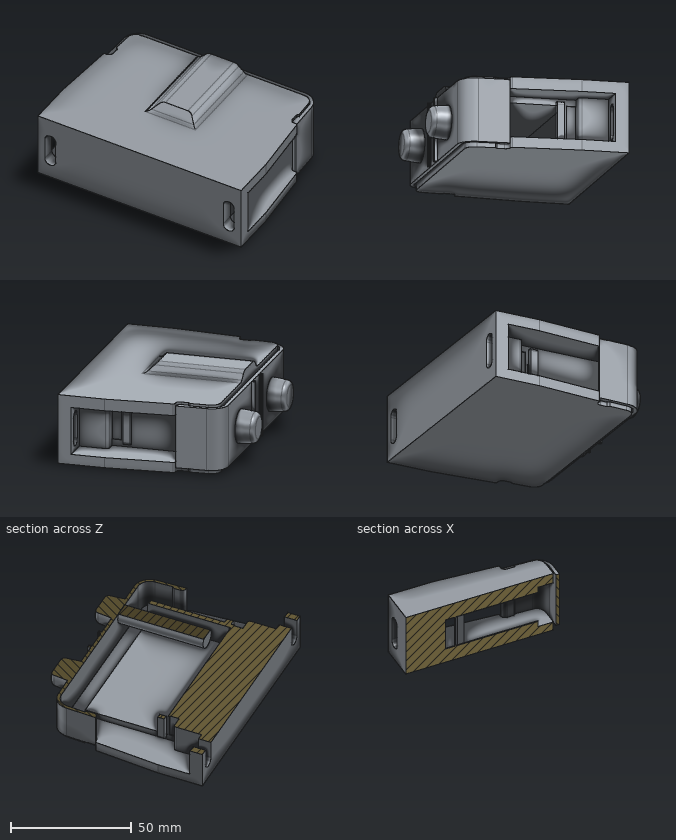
import cadquery as cq

HALF_WIDTH = 49.0
HEIGHT = 30.1
LENGTH = 68.0
TAPER_START_Y = 20.3
SHOULDER_Y = 50.0
SHOULDER_HALF_WIDTH = 46.6
SHOULDER_FILLET = 0.7
HOUSING_CORNER_Y = 63.8
HOUSING_CORNER_RADIUS = LENGTH - HOUSING_CORNER_Y
NECK_HALF_WIDTH = 43.6

GROOVE_TOP_Y = 56.0
GROOVE_TOP_HALF_WIDTH = 44.0
GROOVE_FLOOR_Y = 55.1
GROOVE_HALF_WIDTH = 43.2
GROOVE_ROUND_RADIUS = 1.9

RIDGE_TOP_Z = 34.0
RIDGE_HALF_WIDTH = 12.1
RIDGE_SLOPE_FOOT_HALF_WIDTH = 10.2
RIDGE_SLOPE_FOOT_Z = HEIGHT + 0.7
RIDGE_SLOPE_HEAD_HALF_WIDTH = 7.95
RIDGE_SLOPE_HEAD_Z = 33.0
RIDGE_TOP_HALF_WIDTH = 5.4
RIDGE_FRONT_Y = 25.2
RIDGE_FRONT_SLOPE_FOOT_Y = 27.05
RIDGE_FRONT_TOP_Y = 30.4

MID_Z = 14.75
WINDOW_HEIGHT = 20.5
WINDOW_FRONT_Y = 5.8
WINDOW_FLOOR_HALF_WIDTH = 32.5
BLOCK_HALF_WIDTH = 37.5
BLOCK_REAR_Y = 18.5
BLOCK_FILLET = 1.3
CHAMBER_HEIGHT = 15.0
CHAMBER_FRONT_Y = 24.0
CHAMBER_REAR_Y = 61.0
CHAMBER_FAR_X = 30.0
RECESS_DEPTH = 0.5
RECESS_REAR_Y = 22.5
SLIT_WIDTH = 0.7
SLIT_END_HEIGHT = 4.0

STRAP_FRONT_Y = 23.9
STRAP_WIDTH = 3.1
STRAP_HEIGHT = 17.7
STRAP_THICKNESS = 2.3
STRAP_END_RADIUS = 1.1

FRONT_SLOT_X = 43.0
FRONT_SLOT_Z = 14.05
FRONT_SLOT_WIDTH = 5.2
FRONT_SLOT_HEIGHT = 15.3

CLIP_BOTTOM_Z = 2.0
CLIP_TOP_Z = 29.0
CLIP_REAR_Y = 70.85
CLIP_THICKNESS = 1.7
CLIP_CORNER_Y = 63.6
CLIP_CORNER_HALF_WIDTH = 45.3
CLIP_CORNER_RADIUS = CLIP_REAR_Y - CLIP_CORNER_Y
CLIP_FOOT_HALF_WIDTH = 45.8
CLIP_FOOT_Y = 50.2
CLIP_NOSE_RADIUS = 2.0
HOOK_HALF_SPACING = 5.1
HOOK_STEM = 1.1
HOOK_HEIGHT = 1.35
HOOK_LIP = 0.4
HOOK_LIP_DROP = 0.3
HOOK_LIP_HEIGHT = 0.6

KNOB_X = 22.0
KNOB_BASE_RADIUS = 7.25
KNOB_RIM_Y = 71.15
KNOB_SHOULDER_Y = 77.1
KNOB_SHOULDER_RADIUS = 6.65
KNOB_TOP_Y = 79.0
KNOB_TOP_RADIUS = 4.7

ROD_RADIUS = 4.1
ROD_FRONT_Y = 30.2

SIDES = (-1, 1)
ARC_MID = 0.5 ** 0.5


def box(x_a, x_b, y_a, y_b, height, z_mid=MID_Z):
    """Box between two X and two Y positions, centred on a height."""
    size = (abs(x_b - x_a), y_b - y_a, height)
    return cq.Workplane("XY").box(*size).translate(((x_a + x_b) / 2, (y_a + y_b) / 2, z_mid))


def housing_half():
    """Half of the block on the +X side, with its snap groove."""
    round_centre_x = GROOVE_HALF_WIDTH + GROOVE_ROUND_RADIUS
    round_centre_y = SHOULDER_Y + GROOVE_ROUND_RADIUS
    round_offset = GROOVE_ROUND_RADIUS * ARC_MID
    corner_centre_x = NECK_HALF_WIDTH - HOUSING_CORNER_RADIUS
    corner_offset = HOUSING_CORNER_RADIUS * ARC_MID
    half = (
        cq.Workplane("XY")
        .lineTo(HALF_WIDTH, 0)
        .lineTo(HALF_WIDTH, TAPER_START_Y)
        .lineTo(SHOULDER_HALF_WIDTH, SHOULDER_Y)
        .lineTo(round_centre_x, SHOULDER_Y)
        .threePointArc(
            (round_centre_x - round_offset, round_centre_y - round_offset),
            (GROOVE_HALF_WIDTH, round_centre_y),
        )
        .lineTo(GROOVE_HALF_WIDTH, GROOVE_FLOOR_Y)
        .lineTo(GROOVE_TOP_HALF_WIDTH, GROOVE_TOP_Y)
        .lineTo(NECK_HALF_WIDTH, HOUSING_CORNER_Y)
        .threePointArc(
            (corner_centre_x + corner_offset, HOUSING_CORNER_Y + corner_offset),
            (corner_centre_x, LENGTH),
        )
        .lineTo(0, LENGTH)
        .close()
        .extrude(HEIGHT)
    )
    shoulder = cq.selectors.NearestToPointSelector((SHOULDER_HALF_WIDTH, SHOULDER_Y, HEIGHT / 2))
    return half.edges(shoulder).fillet(SHOULDER_FILLET)


def ridge():
    """Cross-section run along Y, trimmed by the side outline so that the corners are mitred."""
    section = (
        cq.Workplane("XZ", origin=(0, LENGTH, 0))
        .moveTo(0, HEIGHT)
        .lineTo(0, RIDGE_TOP_Z)
        .lineTo(RIDGE_TOP_HALF_WIDTH, RIDGE_TOP_Z)
        .tangentArcPoint((RIDGE_SLOPE_HEAD_HALF_WIDTH, RIDGE_SLOPE_HEAD_Z), relative=False)
        .lineTo(RIDGE_SLOPE_FOOT_HALF_WIDTH, RIDGE_SLOPE_FOOT_Z)
        .tangentArcPoint((RIDGE_HALF_WIDTH, HEIGHT), relative=False)
        .close()
        .extrude(LENGTH - RIDGE_FRONT_Y)
    )
    side_outline = (
        cq.Workplane("YZ")
        .moveTo(LENGTH, HEIGHT)
        .lineTo(LENGTH, RIDGE_TOP_Z)
        .lineTo(RIDGE_FRONT_TOP_Y, RIDGE_TOP_Z)
        .lineTo(RIDGE_FRONT_SLOPE_FOOT_Y, RIDGE_SLOPE_FOOT_Z)
        .tangentArcPoint((RIDGE_FRONT_Y, HEIGHT), relative=False)
        .close()
        .extrude(RIDGE_HALF_WIDTH, both=True)
    )
    return section.union(section.mirror("YZ")).intersect(side_outline)


def side_window(side):
    """Deep side opening, running out at the rear, with a rounded block left standing at its front."""
    opening = box(
        side * WINDOW_FLOOR_HALF_WIDTH, side * HALF_WIDTH, WINDOW_FRONT_Y, LENGTH, WINDOW_HEIGHT
    )
    block = box(
        side * WINDOW_FLOOR_HALF_WIDTH, side * BLOCK_HALF_WIDTH, WINDOW_FRONT_Y, BLOCK_REAR_Y, WINDOW_HEIGHT
    )
    outer_rear_edge = cq.selectors.NearestToPointSelector((side * BLOCK_HALF_WIDTH, BLOCK_REAR_Y, MID_Z))
    return opening.cut(block.edges(outer_rear_edge).fillet(BLOCK_FILLET))


def shallow_recess(side):
    inner_x = side * (WINDOW_FLOOR_HALF_WIDTH - RECESS_DEPTH)
    return box(inner_x, side * WINDOW_FLOOR_HALF_WIDTH, BLOCK_REAR_Y, RECESS_REAR_Y, CHAMBER_HEIGHT)


def strap(side):
    outer_x = side * (WINDOW_FLOOR_HALF_WIDTH + STRAP_THICKNESS)
    bar = box(
        side * WINDOW_FLOOR_HALF_WIDTH, outer_x, STRAP_FRONT_Y, STRAP_FRONT_Y + STRAP_WIDTH, STRAP_HEIGHT
    )
    outer_face = ">X" if side > 0 else "<X"
    return bar.faces(outer_face).edges("|Y").fillet(STRAP_END_RADIUS)


def front_slots():
    return (
        cq.Workplane("XZ")
        .pushPoints([(side * FRONT_SLOT_X, FRONT_SLOT_Z) for side in SIDES])
        .slot2D(FRONT_SLOT_HEIGHT, FRONT_SLOT_WIDTH, 90)
        .extrude(-WINDOW_FRONT_Y)
    )


def chamber():
    """Inner space for the rod, the open rear behind it and a slit that runs right across."""
    slit_front_y = CHAMBER_FRONT_Y - SLIT_WIDTH
    floor_x = WINDOW_FLOOR_HALF_WIDTH
    main = box(-floor_x, CHAMBER_FAR_X, CHAMBER_FRONT_Y, CHAMBER_REAR_Y, CHAMBER_HEIGHT)
    channel = box(-floor_x, floor_x, CHAMBER_REAR_Y, LENGTH, WINDOW_HEIGHT)
    slit = box(-floor_x, CHAMBER_FAR_X, slit_front_y, CHAMBER_FRONT_Y, CHAMBER_HEIGHT)
    slit_end = box(CHAMBER_FAR_X, floor_x, slit_front_y, CHAMBER_FRONT_Y, SLIT_END_HEIGHT)
    return main.union(channel).union(slit).union(slit_end)


def make_housing():
    half = housing_half()
    housing = half.union(half.mirror("YZ")).union(ridge())
    housing = housing.cut(chamber()).cut(front_slots())
    for side in SIDES:
        housing = housing.cut(side_window(side)).cut(shallow_recess(side))
        housing = housing.union(strap(side))
    return housing


def clip_half():
    """Half of the bent plate on the +X side; its arm follows the housing side and snap groove."""
    inner_y = CLIP_REAR_Y - CLIP_THICKNESS
    corner_centre_x = CLIP_CORNER_HALF_WIDTH - CLIP_CORNER_RADIUS
    outer_offset = CLIP_CORNER_RADIUS * ARC_MID
    inner_radius = inner_y - HOUSING_CORNER_Y
    inner_centre_x = NECK_HALF_WIDTH - inner_radius
    inner_offset = inner_radius * ARC_MID
    return (
        cq.Workplane("XY", origin=(0, 0, CLIP_BOTTOM_Z))
        .moveTo(0, inner_y)
        .lineTo(0, CLIP_REAR_Y)
        .lineTo(corner_centre_x, CLIP_REAR_Y)
        .threePointArc(
            (corner_centre_x + outer_offset, CLIP_CORNER_Y + outer_offset),
            (CLIP_CORNER_HALF_WIDTH, CLIP_CORNER_Y),
        )
        .lineTo(CLIP_FOOT_HALF_WIDTH, CLIP_FOOT_Y)
        .lineTo(GROOVE_HALF_WIDTH + CLIP_NOSE_RADIUS, CLIP_FOOT_Y)
        .tangentArcPoint((-CLIP_NOSE_RADIUS, CLIP_NOSE_RADIUS))
        .lineTo(GROOVE_HALF_WIDTH, GROOVE_FLOOR_Y)
        .lineTo(GROOVE_TOP_HALF_WIDTH, GROOVE_TOP_Y)
        .lineTo(NECK_HALF_WIDTH, HOUSING_CORNER_Y)
        .threePointArc(
            (inner_centre_x + inner_offset, HOUSING_CORNER_Y + inner_offset),
            (inner_centre_x, inner_y),
        )
        .close()
        .extrude(CLIP_TOP_Z - CLIP_BOTTOM_Z)
    )


def hook(side):
    """Low upright rib with a lip turned towards the middle of the plate."""
    height = CLIP_TOP_Z - CLIP_BOTTOM_Z
    z_mid = (CLIP_TOP_Z + CLIP_BOTTOM_Z) / 2
    inner_x = HOOK_HALF_SPACING - HOOK_STEM / 2
    outer_x = HOOK_HALF_SPACING + HOOK_STEM / 2
    top_y = CLIP_REAR_Y + HOOK_HEIGHT
    lip_top_y = top_y - HOOK_LIP_DROP
    stem = box(side * inner_x, side * outer_x, CLIP_REAR_Y, top_y, height, z_mid)
    lip = box(
        side * (inner_x - HOOK_LIP), side * inner_x, lip_top_y - HOOK_LIP_HEIGHT, lip_top_y, height, z_mid
    )
    return stem.union(lip)


def knob(side):
    """Slightly tapered round knob with a rounded top, turned about a Y axis."""
    return (
        cq.Workplane("XY")
        .moveTo(0, CLIP_REAR_Y)
        .lineTo(0, KNOB_TOP_Y)
        .lineTo(KNOB_TOP_RADIUS, KNOB_TOP_Y)
        .tangentArcPoint((KNOB_SHOULDER_RADIUS, KNOB_SHOULDER_Y), relative=False)
        .lineTo(KNOB_BASE_RADIUS, KNOB_RIM_Y)
        .lineTo(KNOB_BASE_RADIUS, CLIP_REAR_Y)
        .close()
        .revolve(360, (0, 0, 0), (0, 1, 0))
        .translate((side * KNOB_X, 0, MID_Z))
    )


def make_clip():
    half = clip_half()
    clip = half.union(half.mirror("YZ"))
    for side in SIDES:
        clip = clip.union(hook(side)).union(knob(side))
    return clip


def make_rod():
    plane = cq.Plane(origin=(KNOB_X, ROD_FRONT_Y, MID_Z), xDir=(1, 0, 0), normal=(0, 1, 0))
    length = CLIP_REAR_Y - CLIP_THICKNESS - ROD_FRONT_Y
    return cq.Workplane(plane).circle(ROD_RADIUS).extrude(length)


housing = make_housing()
clip = make_clip()
rod = make_rod()

result = cq.Compound.makeCompound([housing.val(), clip.val(), rod.val()])